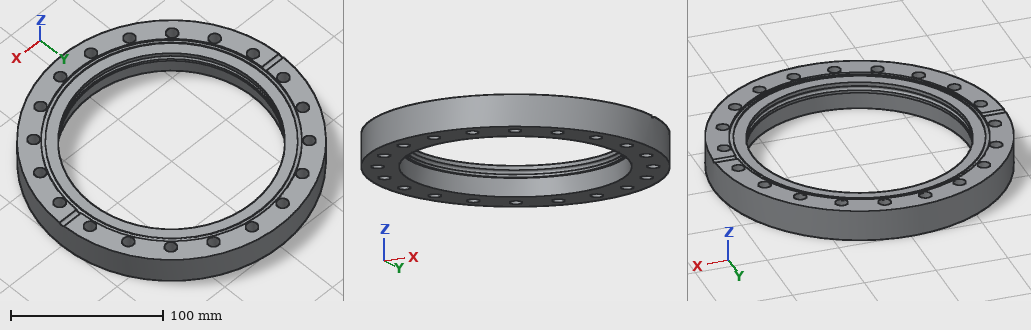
import cadquery as cq
import math

OUTER_DIAMETER = 203.0
THICKNESS = 22.0

RECESS_DIAMETER = 171.4
RECESS_DEPTH = 1.4
KNIFE_DIAMETER = 165.8
KNIFE_ANGLE = 20.0
INNER_FLAT_DEPTH = 1.2

BORE_DIAMETER = 149.0
SOCKET_DIAMETER = 152.9
SOCKET_DEPTH = 12.8
LIP_HEIGHT = 2.0
RELIEF_RADIUS = 1.5

BOLT_COUNT = 20
BOLT_CIRCLE_DIAMETER = 181.0
BOLT_HOLE_DIAMETER = 8.4

LEAK_GROOVE_WIDTH = 4.2
LEAK_GROOVE_DEPTH = 1.0


def make_ring():
    """Revolve the half section (radius, height) around Z."""
    outer_radius = OUTER_DIAMETER / 2
    recess_radius = RECESS_DIAMETER / 2
    knife_radius = KNIFE_DIAMETER / 2
    bore_radius = BORE_DIAMETER / 2
    socket_radius = SOCKET_DIAMETER / 2

    recess_floor = THICKNESS - RECESS_DEPTH
    knife_rise = (recess_radius - knife_radius) * math.tan(math.radians(KNIFE_ANGLE))
    knife_tip = recess_floor + knife_rise
    inner_flat = THICKNESS - INNER_FLAT_DEPTH
    lip_top = SOCKET_DEPTH + LIP_HEIGHT
    relief_middle = lip_top + RELIEF_RADIUS
    relief_top = lip_top + 2 * RELIEF_RADIUS

    return (
        cq.Workplane("XZ")
        .moveTo(socket_radius, 0)
        .lineTo(outer_radius, 0)
        .lineTo(outer_radius, THICKNESS)
        .lineTo(recess_radius, THICKNESS)
        .lineTo(recess_radius, recess_floor)
        .lineTo(knife_radius, knife_tip)
        .lineTo(knife_radius, inner_flat)
        .lineTo(bore_radius, inner_flat)
        .lineTo(bore_radius, relief_top)
        .threePointArc((bore_radius + RELIEF_RADIUS, relief_middle), (bore_radius, lip_top))
        .lineTo(bore_radius, SOCKET_DEPTH)
        .lineTo(socket_radius, SOCKET_DEPTH)
        .close()
        .revolve(360, (0, 0, 0), (0, 1, 0))
    )


def make_bolt_holes():
    half_pitch = 360 / BOLT_COUNT / 2
    return (
        cq.Workplane("XY")
        .polarArray(BOLT_CIRCLE_DIAMETER / 2, half_pitch, 360, BOLT_COUNT)
        .circle(BOLT_HOLE_DIAMETER / 2)
        .extrude(THICKNESS)
    )


def make_leak_grooves():
    """Cylinder along X, limited to the rim so that the knife edge stays whole."""
    half_width = LEAK_GROOVE_WIDTH / 2
    radius = (half_width**2 + LEAK_GROOVE_DEPTH**2) / (2 * LEAK_GROOVE_DEPTH)
    axis_height = THICKNESS - LEAK_GROOVE_DEPTH + radius
    cutter = (
        cq.Workplane("YZ")
        .center(0, axis_height)
        .circle(radius)
        .extrude(OUTER_DIAMETER / 2 + radius, both=True)
    )
    sealing_zone = cq.Workplane("XY").circle(RECESS_DIAMETER / 2).extrude(axis_height + radius)
    return cutter.cut(sealing_zone)


result = make_ring().cut(make_bolt_holes()).cut(make_leak_grooves())